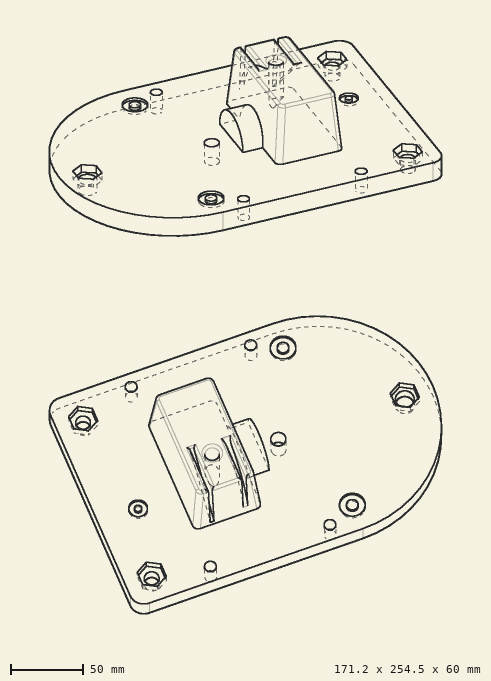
import cadquery as cq
import math

PLATE_WIDTH = 171.2
PLATE_LENGTH = 254.5
PLATE_THICKNESS = 15.0
PLATE_CORNER_RADIUS = 10.2
ROUND_RADIUS = PLATE_WIDTH / 2
BACK_Y = PLATE_LENGTH - ROUND_RADIUS

CENTER_X = 0.5
SMALL_HOLE_DIAMETER = 8.1
SMALL_HOLE_X = 75.0
SMALL_HOLE_YS = (109.0, 20.0)
PIVOT_HOLE_DIAMETER = 10.5
PIVOT_HOLE_Y = 29.0

NUT_ACROSS_FLATS = 17.5
NUT_POCKET_DEPTH = 6.0
NUT_POCKETS = (
    (-65.5, 148.8, 10.2),
    (64.5, 148.8, 10.2),
    (CENTER_X, -64.9, 13.0),
)

RING_DEPTH = 2.0
RING_RECESSES = (
    (-65.6, 0.0, 17.8, 8.1),
    (65.6, 0.0, 17.8, 8.1),
    (-14.2, 139.0, 13.0, 5.0),
)

BLOCK_LENGTH = 90.0
BLOCK_WIDTH = 50.0
BLOCK_HEIGHT = 45.0
BLOCK_DRAFT = 5.0
BLOCK_Y = 83.7
BLOCK_CORNER_RADIUS = 4.0
TOP_ROUND = 2.0
BLOCK_LEFT_X = CENTER_X - BLOCK_LENGTH / 2
BLOCK_TOP_Z = PLATE_THICKNESS + BLOCK_HEIGHT

RAMP_SLOT_WIDTH = 2.8
RAMP_SLOT_Y = 95.6
RAMP_SLOT_FOOT = 3.5
RAMP_SLOT_END_X = -4.5
ARC_SLOT_WIDTH = 3.3
ARC_SLOT_Y = 70.7
ARC_SLOT_FOOT = 8.5
ARC_SLOT_END_X = -6.0
ARC_SLOT_RADIUS = 45.8
CUT_MARGIN = 2.5

BLOCK_HOLE_DIAMETER = 10.2
BLOCK_HOLE_X = -14.2
BLOCK_HOLE_Y = 84.0

BOSS_RADIUS = 20.0
BOSS_FRONT_Y = 43.8
BOSS_BACK_Y = BLOCK_Y + BLOCK_WIDTH / 4


def make_plate():
    plate = (
        cq.Workplane("XY")
        .moveTo(-ROUND_RADIUS, BACK_Y)
        .lineTo(-ROUND_RADIUS, 0)
        .threePointArc((0, -ROUND_RADIUS), (ROUND_RADIUS, 0))
        .lineTo(ROUND_RADIUS, BACK_Y)
        .close()
        .extrude(PLATE_THICKNESS)
    )
    return plate.edges("|Z and >Y").fillet(PLATE_CORNER_RADIUS)


def through_hole(x, y, diameter):
    return cq.Workplane("XY").center(x, y).circle(diameter / 2).extrude(PLATE_THICKNESS)


def nut_pocket(x, y, hole_diameter):
    across_corners = NUT_ACROSS_FLATS / math.cos(math.pi / 6)
    pocket = (
        cq.Workplane("XY", origin=(x, y, PLATE_THICKNESS))
        .polygon(6, across_corners)
        .extrude(-NUT_POCKET_DEPTH)
    )
    return pocket.union(through_hole(x, y, hole_diameter))


def ring_recess(x, y, outer_diameter, stud_diameter):
    return (
        cq.Workplane("XY", origin=(x, y, PLATE_THICKNESS))
        .circle(outer_diameter / 2)
        .circle(stud_diameter / 2)
        .extrude(-RING_DEPTH)
    )


def side_x(height):
    """X of the block's drafted -X side at a height above the plate."""
    return BLOCK_LEFT_X + height * math.tan(math.radians(BLOCK_DRAFT))


def slot_cutter(y, width, foot_height, end_x, floor_radius=None):
    """Corner slot whose floor runs from the -X side to the top, straight or bulging outward."""
    foot = (side_x(foot_height), PLATE_THICKNESS + foot_height)
    end = (end_x, BLOCK_TOP_Z)
    outside_x = BLOCK_LEFT_X - CUT_MARGIN
    above_z = BLOCK_TOP_Z + CUT_MARGIN
    profile = cq.Workplane("XZ", origin=(0, y, 0)).moveTo(*foot)
    if floor_radius is None:
        profile = profile.lineTo(*end)
    else:
        profile = profile.radiusArc(end, floor_radius)
    return (
        profile.lineTo(end_x, above_z)
        .lineTo(outside_x, above_z)
        .lineTo(outside_x, foot[1])
        .close()
        .extrude(width / 2, both=True)
    )


def make_block():
    block = (
        cq.Workplane("XY", origin=(CENTER_X, BLOCK_Y, PLATE_THICKNESS))
        .rect(BLOCK_LENGTH, BLOCK_WIDTH)
        .extrude(BLOCK_HEIGHT, taper=BLOCK_DRAFT)
    )
    block = block.edges("not (|X or |Y)").fillet(BLOCK_CORNER_RADIUS)
    hole = (
        cq.Workplane("XY", origin=(BLOCK_HOLE_X, BLOCK_HOLE_Y, PLATE_THICKNESS))
        .circle(BLOCK_HOLE_DIAMETER / 2)
        .extrude(BLOCK_HEIGHT)
    )
    ramp_slot = slot_cutter(RAMP_SLOT_Y, RAMP_SLOT_WIDTH, RAMP_SLOT_FOOT, RAMP_SLOT_END_X)
    arc_slot = slot_cutter(
        ARC_SLOT_Y, ARC_SLOT_WIDTH, ARC_SLOT_FOOT, ARC_SLOT_END_X, ARC_SLOT_RADIUS
    )
    block = block.cut(hole).cut(ramp_slot).cut(arc_slot)
    return block.faces(">Z").edges().fillet(TOP_ROUND)


def make_boss():
    return (
        cq.Workplane("XZ", origin=(CENTER_X, BOSS_BACK_Y, PLATE_THICKNESS))
        .moveTo(-BOSS_RADIUS, 0)
        .threePointArc((0, BOSS_RADIUS), (BOSS_RADIUS, 0))
        .close()
        .extrude(BOSS_BACK_Y - BOSS_FRONT_Y)
    )


result = make_plate()
for side in (-1, 1):
    hole_x = CENTER_X + side * SMALL_HOLE_X
    for hole_y in SMALL_HOLE_YS:
        result = result.cut(through_hole(hole_x, hole_y, SMALL_HOLE_DIAMETER))
result = result.cut(through_hole(CENTER_X, PIVOT_HOLE_Y, PIVOT_HOLE_DIAMETER))
for pocket_sizes in NUT_POCKETS:
    result = result.cut(nut_pocket(*pocket_sizes))
for recess_sizes in RING_RECESSES:
    result = result.cut(ring_recess(*recess_sizes))

result = result.union(make_block()).union(make_boss())